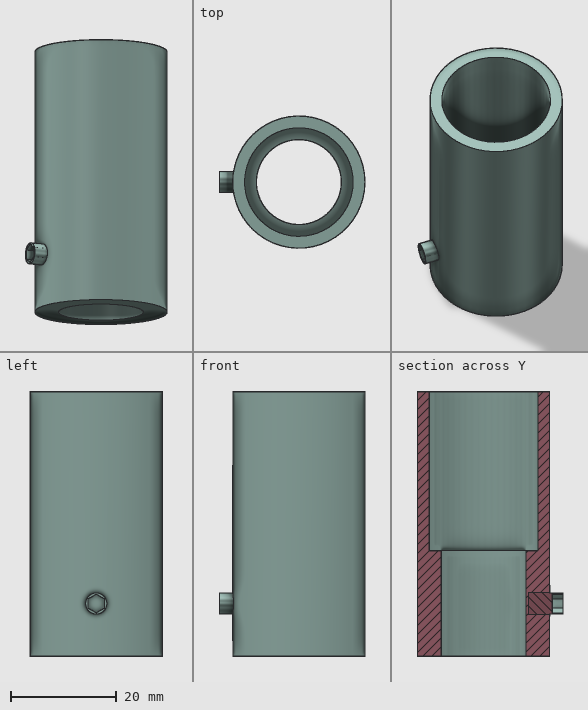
import cadquery as cq
import math

sleeve_height = 50.0
sleeve_diameter = 25.0
socket_diameter = 20.5
bore_diameter = 16.0
shoulder_height = 20.0

screw_diameter = 4.0
screw_height = 10.0
screw_protrusion = 2.5
screw_embedment = 4.0
screw_length = screw_protrusion + screw_embedment
screw_outer_x = -sleeve_diameter / 2 - screw_protrusion

hex_across_corners = 3.5
hex_depth = 2.0


def radial_plane():
    """Plane on the outer end of the screw, with its normal along +X and local Y along Z."""
    return cq.Plane(origin=(screw_outer_x, 0, screw_height), xDir=(0, 1, 0), normal=(1, 0, 0))


def make_screw_blank():
    return cq.Workplane(radial_plane()).circle(screw_diameter / 2).extrude(screw_length)


def make_sleeve():
    tube = cq.Workplane("XY").circle(sleeve_diameter / 2).extrude(sleeve_height)
    bore = cq.Workplane("XY").circle(bore_diameter / 2).extrude(sleeve_height)
    socket = (
        cq.Workplane("XY")
        .workplane(offset=shoulder_height)
        .circle(socket_diameter / 2)
        .extrude(sleeve_height - shoulder_height)
    )
    return tube.cut(bore).cut(socket).cut(make_screw_blank())


def make_set_screw():
    corner_angles = [math.radians(90 + 60 * i) for i in range(6)]
    corner_radius = hex_across_corners / 2
    corners = [(corner_radius * math.cos(a), corner_radius * math.sin(a)) for a in corner_angles]
    drive = cq.Workplane(radial_plane()).polyline(corners).close().extrude(hex_depth)
    return make_screw_blank().cut(drive)


sleeve = make_sleeve()
set_screw = make_set_screw()

result = cq.Compound.makeCompound([sleeve.val(), set_screw.val()])